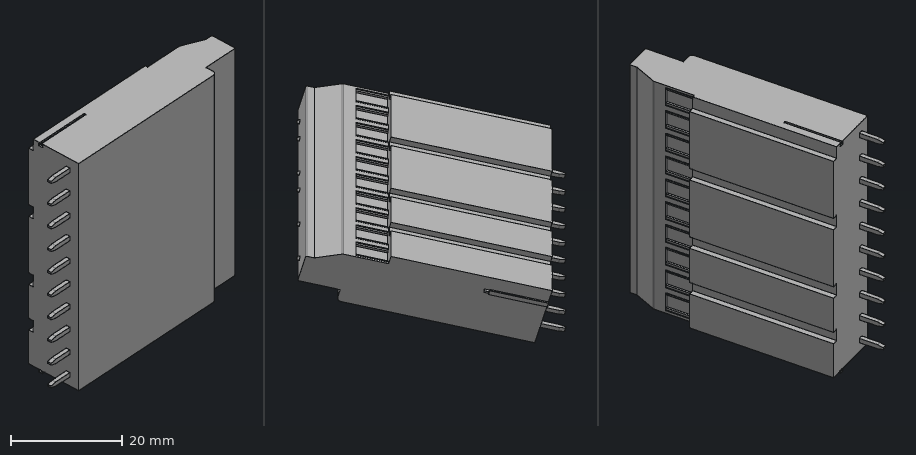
import cadquery as cq

pole_count = 10
housing_height = 50.85
pole_pitch = housing_height / pole_count

housing_width = 12.2
housing_length = 44.8
panel_length = 30.0
waist_x = 1.7
slope_start_y = 38.5
slope_start_radius = 0.6
slope_end_y = 43.25
nose_left_x = 3.85
nose_right_x = 9.6
nose_corner_radius = 0.25
shoulder_y = 36.9
shoulder_radius = 0.85

panel_slot_depth = 1.15
panel_slot_height = pole_pitch / 2
panel_slot_poles = (0, 3, 6, 8)

window_end_y = 36.05
window_height = 3.85
window_depth = 0.2
window_inner_height = 2.95
window_inner_depth = 0.6

pin_x = 9.6
pin_width = 0.85
pin_height = 1.0
pin_length = 5.0
pin_taper_length = 1.2
pin_tip_height = 0.4

nub_x = 8.4
nub_radius = 0.5
nub_height = 1.15
nub_poles = (1, 2, 4, 5, 7, 9)

joint_x = 2.95
joint_length = 11.9
rail_height = 51.4 - housing_height
rail_neck_width = 0.35
rail_neck_height = 0.15
rail_head_width = 0.85
rail_lead_length = 1.0
slot_neck_width = 0.4
slot_neck_height = 0.35
slot_head_width = 0.85
slot_depth = 0.75


def box(x_range, y_range, z_range):
    """Box spanning the given (low, high) ranges."""
    low, high = zip(x_range, y_range, z_range)
    size = [b - a for a, b in zip(low, high)]
    return cq.Workplane("XY").box(*size, centered=False).translate(low)


def centred(middle, size):
    """Range of the given size about its middle."""
    return (middle - size / 2, middle + size / 2)


def pole_z(index):
    """Height of the middle of a pole, counted from the top."""
    return housing_height - (index + 0.5) * pole_pitch


def round_upright_edge(body, x, y, radius):
    """Fillet the edge along Z that stands at (x, y)."""
    edge = cq.NearestToPointSelector((x, y, housing_height / 2))
    return body.edges("|Z").edges(edge).fillet(radius)


def make_housing():
    outline = [
        (0, 0),
        (housing_width, 0),
        (housing_width, shoulder_y),
        (nose_right_x, shoulder_y),
        (nose_right_x, housing_length),
        (nose_left_x, housing_length),
        (nose_left_x, slope_end_y),
        (waist_x, slope_start_y),
        (waist_x, panel_length),
        (0, panel_length),
    ]
    body = cq.Workplane("XY").polyline(outline).close().extrude(housing_height)
    body = round_upright_edge(body, housing_width, shoulder_y, shoulder_radius)
    body = round_upright_edge(body, waist_x, slope_start_y, slope_start_radius)
    for x in (nose_left_x, nose_right_x):
        body = round_upright_edge(body, x, housing_length, nose_corner_radius)
    return body


def panel_slot(poles_from_top):
    top = housing_height - poles_from_top * pole_pitch
    return box((0, panel_slot_depth), (0, panel_length), (top - panel_slot_height, top))


def window(index):
    z = pole_z(index)
    y_range = (panel_length, window_end_y)
    outer = box((waist_x, waist_x + window_depth), y_range, centred(z, window_height))
    inner = box((waist_x, waist_x + window_inner_depth), y_range, centred(z, window_inner_height))
    return outer.union(inner)


def pin(index):
    half = pin_height / 2
    half_tip = pin_tip_height / 2
    taper_y = pin_taper_length - pin_length
    outline = [
        (0, half),
        (taper_y, half),
        (-pin_length, half_tip),
        (-pin_length, -half_tip),
        (taper_y, -half),
        (0, -half),
    ]
    bar = cq.Workplane("YZ").polyline(outline).close().extrude(pin_width / 2, both=True)
    return bar.translate((pin_x, 0, pole_z(index)))


def nub(poles_from_top):
    z = housing_height - poles_from_top * pole_pitch
    half = nub_height / 2
    diamond_half = [(0, half), (nub_radius, 0), (0, -half)]
    spindle = cq.Workplane("XZ").polyline(diamond_half).close().revolve(360, (0, 0), (0, 1))
    return spindle.translate((nub_x, housing_length, z))


def rail():
    neck = box(centred(joint_x, rail_neck_width), (0, joint_length), (-rail_height, 0))
    head = box(
        centred(joint_x, rail_head_width),
        (0, joint_length - rail_lead_length),
        (-rail_height, -rail_neck_height),
    )
    return neck.union(head)


def joint_slot():
    bottom = housing_height - slot_depth
    shelf = housing_height - slot_neck_height
    y_range = (0, joint_length)
    neck = box(centred(joint_x, slot_neck_width), y_range, (bottom, housing_height))
    head = box(centred(joint_x, slot_head_width), y_range, (bottom, shelf))
    return neck.union(head)


result = make_housing()
for poles in panel_slot_poles:
    result = result.cut(panel_slot(poles))
for pole in range(pole_count):
    result = result.cut(window(pole)).union(pin(pole))
for poles in nub_poles:
    result = result.union(nub(poles))
result = result.cut(joint_slot()).union(rail())